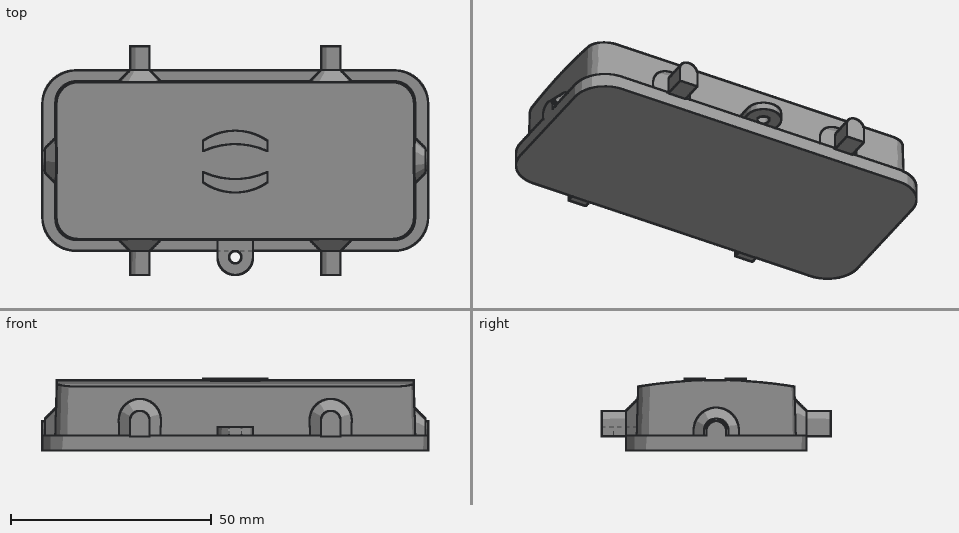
import cadquery as cq

flange_length = 96.1
flange_width = 45.0
flange_height = 3.8
flange_corner_radius = 8.5

cover_length = 89.6
cover_width = 39.6
cover_corner_radius = 5.5
cover_draft = 1.6
crown_height = 17.55
crown_radius = 118.0

pin_radius = 2.45
pin_axis_height = 7.45
pin_bottom = 3.5
pin_spacing = 47.5
pin_span = 57.0

end_tip_radius = 2.45
end_tip_length = 0.7
end_boss_radius = 3.05
end_boss_axis_height = 4.9

flare_root_depth = 1.0

tab_width = 8.9
tab_thickness = 2.0
tab_hole_diameter = 3.0
tab_reach = pin_span / 2

band_top = 17.9
band_root_depth = 1.0
band_width = 16.0
band_axis_y = -0.25
band_outer_apex = 7.7
band_outer_edge = 5.2
band_inner_apex = 4.35
band_inner_edge = 2.6


def rounded_plate(length, width, corner_radius, bottom, height, draft=0.0):
    """Rounded rectangle extruded upward, with its sides leaning inward by the draft angle."""
    outline = cq.Sketch().rect(length, width).vertices().fillet(corner_radius)
    return cq.Workplane("XY", origin=(0, 0, bottom)).placeSketch(outline).extrude(height, taper=draft)


def make_flange():
    return rounded_plate(flange_length, flange_width, flange_corner_radius, 0, flange_height)


def make_cover():
    """Drafted block trimmed by a cylinder along X that forms the domed crown."""
    block_height = crown_height - flange_height
    block = rounded_plate(
        cover_length, cover_width, cover_corner_radius, flange_height, block_height, cover_draft
    )
    crown = (
        cq.Workplane("YZ")
        .center(0, crown_height - crown_radius)
        .circle(crown_radius)
        .extrude(flange_length / 2, both=True)
    )
    return block.intersect(crown)


def draw_arch(plane, radius, axis_height, bottom):
    """Outline with a round top about the axis height and straight legs down to the bottom."""
    return (
        plane.moveTo(-radius, bottom)
        .lineTo(-radius, axis_height)
        .threePointArc((0, axis_height + radius), (radius, axis_height))
        .lineTo(radius, bottom)
        .close()
    )


def arched_pin(radius, axis_height, bottom, start, end):
    """Pin along +X with an arched section."""
    plane = cq.Workplane("YZ", origin=(start, 0, 0))
    return draw_arch(plane, radius, axis_height, bottom).extrude(end - start)


def arched_flare(tip_radius, axis_height, start, end):
    """Boss along +X that narrows at 45 degrees to the tip radius, standing on the flange."""
    length = end - start
    plane = cq.Workplane("YZ", origin=(start, 0, 0))
    root = draw_arch(plane, tip_radius + length, axis_height, flange_height)
    tip = draw_arch(root.workplane(offset=length), tip_radius, axis_height, flange_height)
    return tip.loft(ruled=True)


def make_side_pin():
    root = cover_width / 2 - flare_root_depth
    flare = arched_flare(pin_radius, pin_axis_height, root, flange_width / 2)
    return flare.union(arched_pin(pin_radius, pin_axis_height, pin_bottom, root, pin_span / 2))


def make_end_boss():
    root = cover_length / 2 - flare_root_depth
    end = flange_length / 2
    flare = arched_flare(end_boss_radius, end_boss_axis_height, root, end - end_tip_length)
    return flare.union(arched_pin(end_tip_radius, end_boss_axis_height, flange_height, root, end))


def make_tab():
    """Round-ended eyelet resting on the flange and reaching out toward -Y."""
    half_width = tab_width / 2
    hole_y = half_width - tab_reach
    root_y = flare_root_depth - cover_width / 2
    return (
        cq.Workplane("XY", origin=(0, 0, flange_height))
        .moveTo(-half_width, root_y)
        .lineTo(-half_width, hole_y)
        .threePointArc((0, -tab_reach), (half_width, hole_y))
        .lineTo(half_width, root_y)
        .close()
        .moveTo(0, hole_y)
        .circle(tab_hole_diameter / 2)
        .extrude(tab_thickness)
    )


def make_band(side):
    """Curved band with a flat top, bowed toward +Y or -Y by the sign of side."""
    half_width = band_width / 2
    base = crown_height - band_root_depth
    return (
        cq.Workplane("XY", origin=(0, band_axis_y, base))
        .moveTo(-half_width, side * band_inner_edge)
        .lineTo(-half_width, side * band_outer_edge)
        .threePointArc((0, side * band_outer_apex), (half_width, side * band_outer_edge))
        .lineTo(half_width, side * band_inner_edge)
        .threePointArc((0, side * band_inner_apex), (-half_width, side * band_inner_edge))
        .close()
        .extrude(band_top - base)
    )


z_axis = ((0, 0, 0), (0, 0, 1))
body = make_flange().union(make_cover()).union(make_tab())
for side in (-1, 1):
    side_pin = make_side_pin().rotate(*z_axis, side * 90)
    for pin_x in (-pin_spacing / 2, pin_spacing / 2):
        body = body.union(side_pin.translate((pin_x, 0, 0)))
    body = body.union(make_end_boss().rotate(*z_axis, 90 - side * 90))
    body = body.union(make_band(side))

result = body